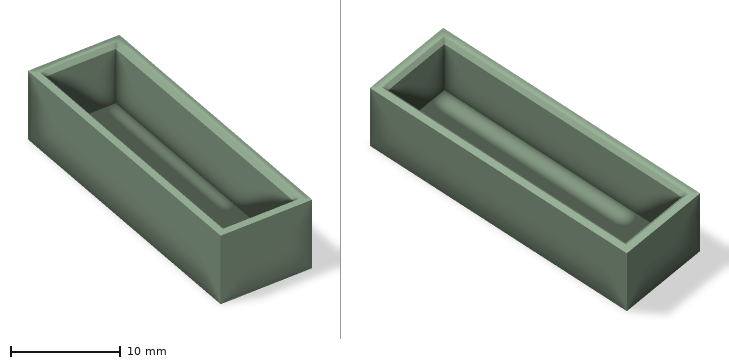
import cadquery as cq

length = 31.37
width = 10.1
height = 7.7

rim = 0.78
chamfer_width = 0.4
chamfer_depth = 0.4
floor_thickness = 1.2

wall = rim + chamfer_width
pocket_length = length - 2 * wall
pocket_width = width - 2 * wall
pocket_depth = height - floor_thickness


def make_block():
    """Solid block standing on the XY plane."""
    return cq.Workplane("XY").box(length, width, height, centered=(True, True, False))


def make_pocket():
    """Straight-walled pocket open at the top."""
    return (
        cq.Workplane("XY")
        .workplane(offset=floor_thickness)
        .rect(pocket_length, pocket_width)
        .extrude(pocket_depth)
    )


def make_mouth():
    """Tapered opening that bevels the top edges of the pocket."""
    return (
        cq.Workplane("XY")
        .workplane(offset=height - chamfer_depth)
        .rect(pocket_length, pocket_width)
        .workplane(offset=chamfer_depth)
        .rect(length - 2 * rim, width - 2 * rim)
        .loft(ruled=True)
    )


result = make_block().cut(make_pocket()).cut(make_mouth())